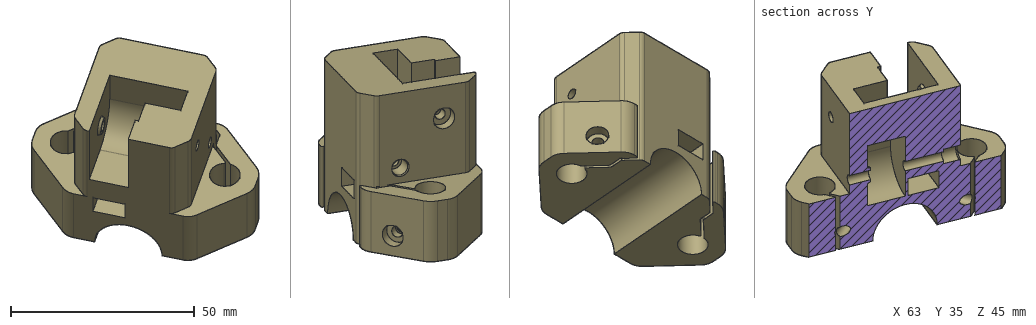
import cadquery as cq
import math

WIDTH = 63.0
DEPTH = 35.0
HEIGHT = 45.0

BASE_HEIGHT = 18.0
BASE_CHAMFER = 14.0
BASE_ROUND = 5.0
ROD_X = 22.5
ROD_Y = DEPTH / 2
ROD_DIAMETER = 8.3

TOWER_WIDTH = 33.0
TOWER_CHAMFER = 4.1
TOWER_ROUND = 1.95

SLIT_GAP = 0.8
SLIT_RISE = 4.0
SLIT_ARM_ROUND = 1.2
SLIT_LIP_ROUND = 0.4

CLAMP_SCREW_Y = 29.0
CLAMP_SCREW_Z = 6.0
CLAMP_SCREW_DIAMETER = 3.2
CLAMP_SCREW_LENGTH = 15.75
SCREW_HEAD_DIAMETER = 6.2
SCREW_HEAD_DEPTH = 3.0

GROOVE_RADIUS = 9.5
STRAP_SLOT_WIDTH = 9.0
STRAP_SLOT_X = -5.5
STRAP_SLOT_FLOOR = 12.5

WHEEL_RADIUS = 10.0
WHEEL_WIDTH = 11.0
FRONT_AXLE_Y = 11.15
FRONT_AXLE_Z = 35.2
REAR_AXLE_Y = 23.95
REAR_AXLE_Z = 22.5
AXLE_DIAMETER = 3.0
AXLE_INSERT_DIAMETER = 4.65
AXLE_INSERT_DEPTH = 5.05
AXLE_INSERT_RIM_DIAMETER = 5.05
AXLE_INSERT_RIM_DEPTH = 0.5
BOSS_DIAMETER = 5.4
BOSS_TIP_DIAMETER = 4.6
BOSS_HEIGHT = 0.8
RELIEF_WIDTH = 7.95
RELIEF_FLOOR = 30.8
RELIEF_DEPTH = 0.95

OPENING_BACK = FRONT_AXLE_Y + WHEEL_RADIUS
TOWER_SIDE = TOWER_WIDTH / 2
SLANT_GAP = SLIT_GAP * math.sqrt(2)
ARM_TIP_OFFSET = DEPTH - TOWER_CHAMFER + TOWER_SIDE + SLANT_GAP
BEYOND = 3.15


def box(x0, x1, y0, y1, z0, z1):
    """Box between two opposite corners."""
    return cq.Workplane("XY").box(x1 - x0, y1 - y0, z1 - z0, centered=False).translate((x0, y0, z0))


def rod_along_x(x0, x1, y, z, radius):
    """Cylinder along X from x0 to x1."""
    return cq.Workplane("YZ", origin=(x0, y, z)).circle(radius).extrude(x1 - x0)


def chamfered_block(width, height, chamfer, rounding):
    """Full-depth block with chamfered and then rounded upright corners."""
    block = box(-width / 2, width / 2, 0, DEPTH, 0, height)
    return block.edges("|Z").chamfer(chamfer).edges("|Z").fillet(rounding)


def rod_hole():
    """Left rod hole."""
    return cq.Workplane("XY", origin=(-ROD_X, ROD_Y, 0)).circle(ROD_DIAMETER / 2).extrude(BASE_HEIGHT)


def clamp_slit():
    """Left slit: from the rod hole, up beside the tower, then out along the tower's back chamfer.

    The slanted runs are at 45 degrees, so each lies on a line y = x + offset.
    The cutter overlaps the tower, which is joined on afterwards.
    """
    arm_x = -TOWER_SIDE - SLIT_GAP
    lower_middle = ROD_Y + ROD_X + SLIT_RISE
    lower_arm = lower_middle + SLANT_GAP / 2
    lower_tower = lower_middle - SLANT_GAP / 2
    back = DEPTH + BEYOND
    start_x = -ROD_X - SLIT_RISE / 2
    outline = [
        (start_x, lower_arm + start_x),
        (arm_x, lower_arm + arm_x),
        (arm_x, ARM_TIP_OFFSET + arm_x),
        (back - ARM_TIP_OFFSET, back),
        (0, back),
        (0, DEPTH - TOWER_CHAMFER),
        (-TOWER_SIDE, DEPTH - TOWER_CHAMFER),
        (-TOWER_SIDE, lower_tower - TOWER_SIDE),
        (start_x, lower_tower + start_x),
    ]
    slit = cq.Workplane("XY").polyline(outline).close().extrude(BASE_HEIGHT)
    arm_bend = cq.selectors.NearestToPointSelector((*outline[1], BASE_HEIGHT / 2))
    tower_bend = cq.selectors.NearestToPointSelector((*outline[7], BASE_HEIGHT / 2))
    slit = slit.edges(arm_bend).fillet(SLIT_ARM_ROUND)
    return slit.edges(tower_bend).fillet(SLIT_ARM_ROUND + SLIT_GAP)


def clamp_screw():
    """Left clamp screw: head recess and blind hole, driven square into the slanted face."""
    face_x = CLAMP_SCREW_Y - (DEPTH - BASE_CHAMFER) - WIDTH / 2
    seat = cq.Plane(origin=(face_x, CLAMP_SCREW_Y, CLAMP_SCREW_Z), xDir=(0, 0, 1), normal=(1, -1, 0))
    hole = cq.Workplane(seat).circle(CLAMP_SCREW_DIAMETER / 2).extrude(CLAMP_SCREW_LENGTH)
    head = cq.Workplane(seat).workplane(offset=-BEYOND).circle(SCREW_HEAD_DIAMETER / 2)
    return hole.union(head.extrude(SCREW_HEAD_DEPTH + BEYOND))


def both_sides(shape):
    """The left-hand shape together with its mirror image."""
    return shape.union(shape.mirror("YZ"))


def clamp_base():
    """Base with split clamps around the two rod holes."""
    base = chamfered_block(WIDTH, BASE_HEIGHT, BASE_CHAMFER, BASE_ROUND)
    opening = rod_hole().union(clamp_slit())
    base = base.cut(both_sides(opening))
    lip_distance = (SLIT_RISE - SLANT_GAP / 2) / math.sqrt(2)
    lip_reach = math.sqrt((ROD_DIAMETER / 2) ** 2 - lip_distance ** 2)
    rod_lip_x = -ROD_X + (lip_reach - lip_distance) / math.sqrt(2)
    rod_lip_y = ROD_Y + (lip_reach + lip_distance) / math.sqrt(2)
    arm_tip_x = DEPTH - ARM_TIP_OFFSET
    middle_z = BASE_HEIGHT / 2
    for side in (1, -1):
        for x, y in ((rod_lip_x, rod_lip_y), (arm_tip_x, DEPTH)):
            sharp_edge = cq.selectors.NearestToPointSelector((side * x, y, middle_z))
            base = base.edges(sharp_edge).fillet(SLIT_LIP_ROUND)
    return base


def front_wheel_pocket():
    """Left pocket, open to the front and the top, with a round lower back corner."""
    floor_z = FRONT_AXLE_Z - WHEEL_RADIUS
    wheel = rod_along_x(-WHEEL_WIDTH, 0, FRONT_AXLE_Y, FRONT_AXLE_Z, WHEEL_RADIUS)
    entry = box(-WHEEL_WIDTH, 0, 0, FRONT_AXLE_Y, floor_z, HEIGHT)
    shaft = box(-WHEEL_WIDTH, 0, FRONT_AXLE_Y, OPENING_BACK, FRONT_AXLE_Z, HEIGHT)
    return wheel.union(entry).union(shaft)


def rear_wheel_pocket():
    """Right pocket: a full drum reached through a shaft from the top."""
    drum = rod_along_x(0, WHEEL_WIDTH, REAR_AXLE_Y, REAR_AXLE_Z, WHEEL_RADIUS)
    shaft = box(0, WHEEL_WIDTH, REAR_AXLE_Y - WHEEL_RADIUS, OPENING_BACK, REAR_AXLE_Z, HEIGHT)
    return drum.union(shaft)


def axle_relief():
    """Shallow relief beside the front wheel, open to the top."""
    half = RELIEF_WIDTH / 2
    return box(0, RELIEF_DEPTH, FRONT_AXLE_Y - half, FRONT_AXLE_Y + half, RELIEF_FLOOR, HEIGHT)


def tapered_disc(wall_x, direction, y, z, diameter, tip_diameter, height):
    """Disc on a wall square to X, narrowing along +X (direction 1) or -X (direction -1)."""
    plane = cq.Plane(origin=(wall_x, y, z), xDir=(0, 1, 0), normal=(direction, 0, 0))
    taper = math.degrees(math.atan2((diameter - tip_diameter) / 2, height))
    return cq.Workplane(plane).circle(diameter / 2).extrude(height, taper=taper)


def axle_boss(wall_x, direction, y, z):
    """Tapered spacer boss standing on a pocket wall."""
    return tapered_disc(wall_x, direction, y, z, BOSS_DIAMETER, BOSS_TIP_DIAMETER, BOSS_HEIGHT)


def front_axle_hole():
    """Through hole with a screw head recess on the left."""
    hole = rod_along_x(-TOWER_SIDE, TOWER_SIDE, FRONT_AXLE_Y, FRONT_AXLE_Z, AXLE_DIAMETER / 2)
    head_end = SCREW_HEAD_DEPTH - TOWER_SIDE
    return hole.union(
        rod_along_x(-TOWER_SIDE, head_end, FRONT_AXLE_Y, FRONT_AXLE_Z, SCREW_HEAD_DIAMETER / 2)
    )


def rear_axle_hole():
    """Through hole with a blind insert recess that has a flared rim on the left."""
    hole = rod_along_x(-TOWER_SIDE, TOWER_SIDE, REAR_AXLE_Y, REAR_AXLE_Z, AXLE_DIAMETER / 2)
    recess_end = AXLE_INSERT_DEPTH - TOWER_SIDE
    recess = rod_along_x(-TOWER_SIDE, recess_end, REAR_AXLE_Y, REAR_AXLE_Z, AXLE_INSERT_DIAMETER / 2)
    rim = tapered_disc(
        -TOWER_SIDE, 1, REAR_AXLE_Y, REAR_AXLE_Z,
        AXLE_INSERT_RIM_DIAMETER, AXLE_INSERT_DIAMETER, AXLE_INSERT_RIM_DEPTH,
    )
    return hole.union(recess).union(rim)


def groove():
    """Half-round groove along the underside."""
    return cq.Workplane("XZ").circle(GROOVE_RADIUS).extrude(-DEPTH)


def strap_slot():
    """Rectangular passage from front to back, level with the top of the base."""
    half = STRAP_SLOT_WIDTH / 2
    return box(STRAP_SLOT_X - half, STRAP_SLOT_X + half, 0, DEPTH, STRAP_SLOT_FLOOR, BASE_HEIGHT)


tower = chamfered_block(TOWER_WIDTH, HEIGHT, TOWER_CHAMFER, TOWER_ROUND)
body = clamp_base().union(tower)
body = body.cut(groove()).cut(strap_slot()).cut(both_sides(clamp_screw()))
body = body.cut(front_wheel_pocket()).cut(rear_wheel_pocket()).cut(axle_relief())
body = body.union(axle_boss(-WHEEL_WIDTH, 1, FRONT_AXLE_Y, FRONT_AXLE_Z))
body = body.union(axle_boss(WHEEL_WIDTH, -1, REAR_AXLE_Y, REAR_AXLE_Z))
result = body.cut(front_axle_hole()).cut(rear_axle_hole())